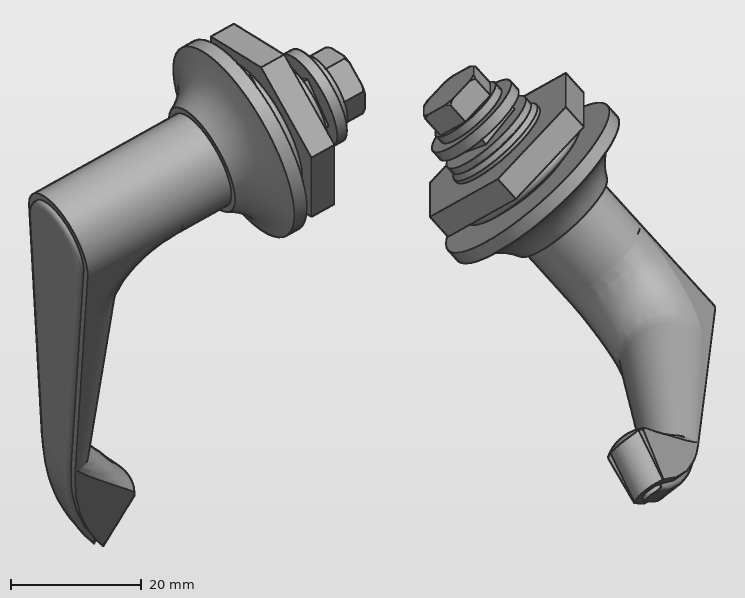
import cadquery as cq
import math


front_y = -35.7
housing_front_y = -8.2
flange_front_y = -2.3
nut_front_y = 2.7
nut_back_y = 7.0
neck_end_y = 8.5
collar_back_y = 9.7
washer_front_y = 11.4
washer_back_y = 13.2
bolt_flange_back_y = 14.6
back_y = 18.6

flange_diameter = 33.0
flange_radius = flange_diameter / 2
flare_mid = (11.8, -4.7)
flare_end_radius = 9.0
neck_radius = 8.5
neck_chamfer = 0.9
bore_radius = 6.1
pin_radius = 1.6
pin_height = 0.9
pin_offset = 13.0

ring_outer_radius = 11.9
ring_section_radius = 0.96
nut_flats = 27.4
washer_radius = 8.0
collar_radius = washer_radius
square_side = 8.1
bolt_flats = 10.0
bolt_flange_radius = 6.1
bolt_edge_chamfer = 0.4
bolt_shank_radius = 3.0
bolt_shank_length = 12.2

total_length = 101.5
grip_radius = 8.0
tip_z = flange_radius - total_length
tip_half_width = 2.8
side_lean = math.atan((grip_radius - tip_half_width) / -tip_z)
bend_start_z = -56.8
bend_radius = 59.9
bend_sweep = 32.0
rim_inset = 1.1
rim_depth = 0.9
rim_fillet = 0.8
elbow_y = -17.2
elbow_radius = 8.7
elbow_z = -(grip_radius + elbow_radius)
elbow_angle = 84.0
arm_length = 41.6
heel_y = -22.1
heel_z = -72.4
heel_crown = 1.0
end_lean = 28.5
end_crown = 1.5
margin = 10.2


def disc(radius, start_y, end_y):
    """Cylinder about the spindle axis."""
    return cq.Workplane("XZ", origin=(0, start_y, 0)).circle(radius).extrude(start_y - end_y)


def hexagon(flats, start_y, end_y):
    """Hexagonal prism about the spindle axis, with two corners on the Z axis."""
    corner_diameter = flats / math.cos(math.radians(30))
    plane = cq.Workplane("XZ", origin=(0, start_y, 0)).transformed(rotate=(0, 0, 90))
    return plane.polygon(6, corner_diameter).extrude(start_y - end_y)


def make_housing():
    """Revolved body with the pin standing on the back of its flange."""
    profile = (
        cq.Workplane("XY")
        .moveTo(bore_radius, housing_front_y)
        .lineTo(flare_end_radius, housing_front_y)
        .threePointArc(flare_mid, (flange_radius, flange_front_y))
        .lineTo(flange_radius, 0)
        .lineTo(neck_radius, 0)
        .lineTo(neck_radius, neck_end_y - neck_chamfer)
        .lineTo(neck_radius - neck_chamfer, neck_end_y)
        .lineTo(bore_radius, neck_end_y)
        .close()
    )
    body = profile.revolve(360, (0, 0, 0), (0, 1, 0))
    pin = disc(pin_radius, flange_front_y, pin_height).translate((0, 0, pin_offset))
    return body.union(pin)


def half_width(z):
    """Half width of the lever at height z; the straight sides are tangent to the grip."""
    return (grip_radius + z * math.sin(side_lean)) / math.cos(side_lean)


def lever_outline(inset, start_y):
    """Round-topped tapering outline, extruded from start_y to the back of the grip."""
    low_z = tip_z - margin
    top_radius = grip_radius - inset
    low_half = half_width(low_z) - inset / math.cos(side_lean)
    tangent_x = top_radius * math.cos(side_lean)
    tangent_z = -top_radius * math.sin(side_lean)
    return (
        cq.Workplane("XZ", origin=(0, housing_front_y, 0))
        .moveTo(-tangent_x, tangent_z)
        .threePointArc((0, top_radius), (tangent_x, tangent_z))
        .lineTo(low_half, low_z)
        .lineTo(-low_half, low_z)
        .close()
        .extrude(housing_front_y - start_y)
    )


def behind_front(depth):
    """Everything behind the front surface of the lever, sunk by the given depth."""
    radius = bend_radius - depth
    centre_y = front_y + bend_radius
    sweep = math.radians(bend_sweep)

    def on_bend(angle):
        return (centre_y - radius * math.cos(angle), bend_start_z - radius * math.sin(angle))

    return (
        cq.Workplane("YZ", origin=(-flange_radius, 0, 0))
        .moveTo(front_y + depth, margin)
        .lineTo(front_y + depth, bend_start_z)
        .threePointArc(on_bend(sweep / 2), on_bend(sweep))
        .lineTo(0, on_bend(sweep)[1])
        .lineTo(0, margin)
        .close()
        .extrude(2 * flange_radius)
    )


def before_end(inset):
    """Everything on the lever side of the leaning, crowned end face."""
    shoulder_radius = bend_radius - rim_depth
    tip_angle = math.asin((bend_start_z - tip_z) / shoulder_radius)
    tip_y = front_y + bend_radius - shoulder_radius * math.cos(tip_angle)
    lean = math.radians(end_lean)
    plane = cq.Plane((0, tip_y, tip_z), (1, 0, 0), (0, math.sin(lean), math.cos(lean)))
    half_chord = tip_half_width - inset
    side = -end_crown - inset
    return (
        cq.Workplane(plane)
        .moveTo(-half_chord, side)
        .threePointArc((0, -inset), (half_chord, side))
        .lineTo(margin, side)
        .lineTo(margin, -total_length)
        .lineTo(-margin, -total_length)
        .lineTo(-margin, side)
        .close()
        .extrude(total_length, both=True)
    )


def back_section(plane, back, half, crown):
    """Section with a rounded back; `back` and `crown` run along the plane's local Y."""
    flare = 0.5
    depth = 2 * grip_radius
    return (
        cq.Workplane(plane)
        .moveTo(-half, back + crown)
        .threePointArc((0, back), (half, back + crown))
        .lineTo(half + flare, back + depth)
        .lineTo(-half - flare, back + depth)
        .close()
        .wires()
        .val()
    )


def elbow_plane(angle, advance=0.0):
    """Plane across the lever, turned about the elbow centre and moved on along the arm."""
    turn = math.radians(angle)
    travel = (0, -math.cos(turn), -math.sin(turn))
    origin = (0, elbow_y + advance * travel[1], elbow_z + advance * travel[2])
    return cq.Plane(origin, (1, 0, 0), travel)


def elbow_section(angle, advance=0.0):
    """Half-round section of the lever on an elbow plane, as wide as the lever is there."""
    turn = math.radians(angle)
    back_z = elbow_z + elbow_radius * math.cos(turn) - advance * math.sin(turn)
    side_z = back_z + grip_radius * math.cos(turn)
    half = min(grip_radius, half_width(side_z))
    return back_section(elbow_plane(angle, advance), elbow_radius, half, half)


def make_lever_core():
    """Elbow, arm and tip before they are trimmed to the lever outline."""
    bend_steps = 3
    bend_sections = [elbow_section(elbow_angle * i / bend_steps) for i in range(bend_steps + 1)]
    elbow = cq.Solid.makeLoft(bend_sections)
    knee_section = elbow_section(elbow_angle, arm_length)
    arm = cq.Solid.makeLoft([bend_sections[-1], knee_section], True)

    def heel_section(z):
        plane = cq.Plane((0, 0, z), (1, 0, 0), (0, 0, -1))
        return back_section(plane, -heel_y, half_width(heel_z), heel_crown)

    heel = heel_section(heel_z)
    tip = cq.Solid.makeLoft([knee_section, heel], True)
    end = cq.Solid.makeLoft([heel, heel_section(tip_z - margin)], True)
    core = cq.Workplane(elbow)
    for part in (arm, tip, end):
        core = core.union(cq.Workplane(part))
    return core


def make_rim():
    """Raised front of the lever with a rounded edge."""
    rim = lever_outline(rim_inset, front_y).intersect(behind_front(0))
    rim = rim.cut(behind_front(rim_depth)).intersect(before_end(rim_inset))
    return rim.faces("<Y").edges().fillet(rim_fillet)


def make_handle():
    """Lever with its journal, retaining collar, square drive and bolt hole."""
    grip = disc(grip_radius, front_y + rim_depth, housing_front_y)
    lever = make_lever_core().intersect(lever_outline(0, front_y))
    lever = lever.intersect(behind_front(rim_depth)).intersect(before_end(0))
    journal = disc(bore_radius, housing_front_y, neck_end_y)
    collar = disc(collar_radius, neck_end_y, collar_back_y)
    square = (
        cq.Workplane("XZ", origin=(0, collar_back_y, 0))
        .transformed(rotate=(0, 0, 45))
        .rect(square_side, square_side)
        .extrude(collar_back_y - washer_front_y)
    )
    bolt_hole = disc(bolt_shank_radius, washer_back_y - bolt_shank_length, washer_front_y)
    return grip.union(lever).union(make_rim()).union(journal).union(collar).union(square).cut(bolt_hole)


def make_sealing_ring():
    centre_radius = ring_outer_radius - ring_section_radius
    section = cq.Workplane("XY").center(centre_radius, nut_front_y - ring_section_radius)
    section = section.circle(ring_section_radius)
    return section.revolve(360, (-centre_radius, 0, 0), (-centre_radius, 1, 0))


def make_nut():
    return hexagon(nut_flats, nut_front_y, nut_back_y).cut(disc(neck_radius, nut_front_y, nut_back_y))


def make_washer():
    hole = disc(bolt_shank_radius, washer_front_y, washer_back_y)
    return disc(washer_radius, washer_front_y, washer_back_y).cut(hole)


def make_bolt():
    corner_radius = bolt_flats / 2 / math.cos(math.radians(30))
    head = hexagon(bolt_flats, bolt_flange_back_y, back_y)
    chamfer_cone = disc(corner_radius, bolt_flange_back_y, back_y)
    chamfer_cone = chamfer_cone.faces(">Y").chamfer(bolt_edge_chamfer)
    flange = disc(bolt_flange_radius, washer_back_y, bolt_flange_back_y)
    shank = disc(bolt_shank_radius, washer_back_y - bolt_shank_length, washer_back_y)
    return head.intersect(chamfer_cone).union(flange).union(shank)


handle = make_handle()
housing = make_housing()
sealing_ring = make_sealing_ring()
nut = make_nut()
washer = make_washer()
bolt = make_bolt()

result = cq.Compound.makeCompound([
    handle.solids().val(),
    housing.solids().val(),
    sealing_ring.solids().val(),
    nut.solids().val(),
    washer.solids().val(),
    bolt.solids().val(),
])